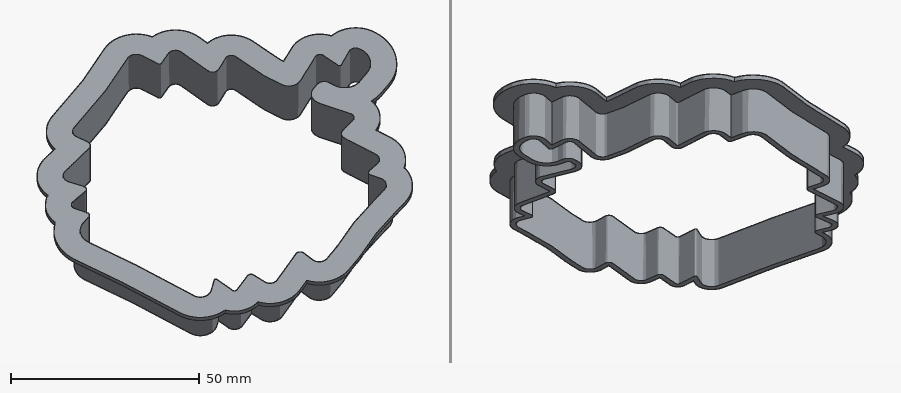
import cadquery as cq
import math

total_height = 14.2
flange_thickness = 1.3

wall_thickness = 1.6
flange_width = 7.0

stem_hook = [
    (6.4, 47.5, 2.0),
    (14.8, 47.5, 5.8),
    (14.8, 33.4, 4.9),
    (6.0, 33.4, 2.2),
    (5.9, 26.1, 3.3),
]
right_side = [
    (10.1, 26.1, 4.4),
    (20.8, 28.1, 1.5),
    (20.1, 19.8, 2.0),
    (34.6, 19.8, 2.2),
    (33.6, 12.9, 0.9),
    (40.9, 14.1, 2.6),
    (40.5, 7.1, 10.9),
    (40.1, -2.8, 4.4),
    (40.9, -12.0, 10.9),
    (41.0, -20.1, 2.5),
    (33.1, -18.6, 1.3),
    (34.1, -33.1, 2.2),
    (26.5, -32.4, 1.1),
    (27.0, -40.1, 0.8),
    (19.8, -39.0, 0.4),
    (22.8, -47.2, 2.9),
]
left_side = [
    (0.0, -46.9, 21.8),
    (-19.8, -47.4, 4.6),
    (-19.6, -38.8, 1.0),
    (-26.3, -40.1, 1.5),
    (-24.9, -31.8, 1.0),
    (-33.7, -33.6, 2.3),
    (-32.3, -18.7, 1.4),
    (-39.7, -19.0, 2.2),
    (-39.7, -1.6, 16.3),
    (-41.2, 13.8, 2.7),
    (-32.4, 13.8, 0.7),
    (-33.1, 21.0, 2.2),
    (-18.4, 18.7, 1.8),
    (-19.6, 27.5, 1.7),
    (-7.4, 25.9, 10.9),
]
stem_left_side = [
    (2.1, 26.0, 3.6),
    (0.1, 40.6, 1.3),
    (7.7, 39.6, 0.5),
]


def rounded_outline(corners):
    """Closed wire through the corners, each replaced by a tangent arc."""
    arcs = []
    for i, (x, y, radius) in enumerate(corners):
        corner = cq.Vector(x, y)
        previous_x, previous_y, _ = corners[i - 1]
        next_x, next_y, _ = corners[(i + 1) % len(corners)]
        back = (cq.Vector(previous_x, previous_y) - corner).normalized()
        ahead = (cq.Vector(next_x, next_y) - corner).normalized()
        half_angle = back.getAngle(ahead) / 2
        setback = radius / math.tan(half_angle)
        arc_gap = radius / math.sin(half_angle) - radius
        arc_middle = corner + (back + ahead).normalized() * arc_gap
        arcs.append((corner + back * setback, arc_middle, corner + ahead * setback))

    first_arc_start = arcs[0][0]
    outline = cq.Workplane("XY").moveTo(first_arc_start.x, first_arc_start.y)
    for i, (_, middle, end) in enumerate(arcs):
        next_arc_start = arcs[(i + 1) % len(arcs)][0]
        outline = outline.threePointArc((middle.x, middle.y), (end.x, end.y))
        outline = outline.lineTo(next_arc_start.x, next_arc_start.y)
    return outline.close()


inner_corners = stem_hook + right_side + left_side + stem_left_side


def outward_prism(offset, height):
    """Solid filling the inner outline grown outward by the offset."""
    return rounded_outline(inner_corners).offset2D(offset, "arc").extrude(height)


wall = outward_prism(wall_thickness, total_height)
flange_bottom = total_height - flange_thickness
flange = outward_prism(flange_width, flange_thickness).translate((0, 0, flange_bottom))
opening = rounded_outline(inner_corners).extrude(total_height)

result = wall.union(flange).cut(opening)